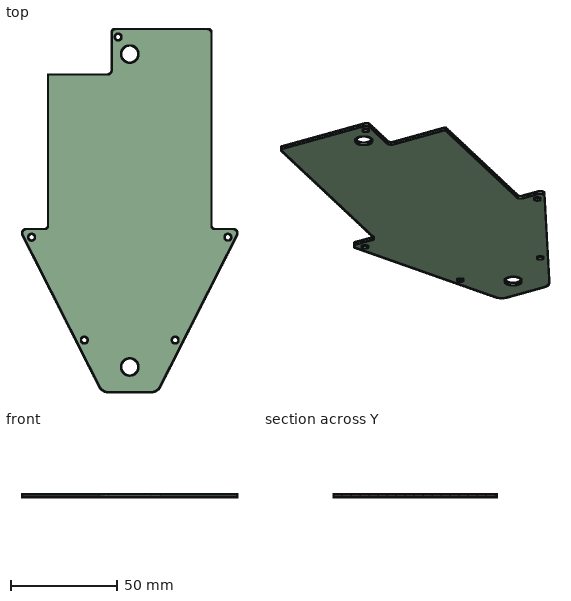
import cadquery as cq

length = 171.0
thickness = 1.5

body_half_width = 38.5
step_y = 149.6
step_x = -8.5

shoulder_y = 77.0
shoulder_half_width = 52.0
nose_half_width = 13.0

tab_corner_radius = 1.5
step_notch_radius = 2.0
shoulder_notch_radius = 1.5
shoulder_tip_radius = 2.0
nose_corner_radius = 5.0

large_hole_diameter = 8.0
small_hole_diameter = 3.0
nose_large_hole_y = 12.0
tab_large_hole_y = 159.2
tab_hole_point = (-5.5, 167.2)
shoulder_hole_x = 46.2
shoulder_hole_y = 73.0
nose_hole_x = 21.4
nose_hole_y = 24.6


def sharp_plate():
    """Flat plate with all outline corners still sharp."""
    outline = [
        (-nose_half_width, 0),
        (nose_half_width, 0),
        (shoulder_half_width, shoulder_y),
        (body_half_width, shoulder_y),
        (body_half_width, length),
        (step_x, length),
        (step_x, step_y),
        (-body_half_width, step_y),
        (-body_half_width, shoulder_y),
        (-shoulder_half_width, shoulder_y),
    ]
    return cq.Workplane("XY").polyline(outline).close().extrude(thickness)


def round_corners(plate, points, radius):
    """Fillet the upright plate edges standing at the given outline corners."""
    for x, y in points:
        edge = cq.selectors.NearestToPointSelector((x, y, thickness / 2))
        plate = plate.edges("|Z").edges(edge).fillet(radius)
    return plate


def mirrored(x, y):
    """The same point on both sides of the centre line."""
    return [(-x, y), (x, y)]


def drill(plate, points, diameter):
    """Cut round holes right through the plate."""
    cutter = cq.Workplane("XY").pushPoints(points).circle(diameter / 2).extrude(thickness)
    return plate.cut(cutter)


plate = sharp_plate()
plate = round_corners(plate, [(step_x, length), (body_half_width, length)], tab_corner_radius)
plate = round_corners(plate, [(step_x, step_y)], step_notch_radius)
plate = round_corners(plate, mirrored(body_half_width, shoulder_y), shoulder_notch_radius)
plate = round_corners(plate, mirrored(shoulder_half_width, shoulder_y), shoulder_tip_radius)
plate = round_corners(plate, mirrored(nose_half_width, 0), nose_corner_radius)

large_hole_points = [(0, nose_large_hole_y), (0, tab_large_hole_y)]
small_hole_points = [
    tab_hole_point,
    *mirrored(shoulder_hole_x, shoulder_hole_y),
    *mirrored(nose_hole_x, nose_hole_y),
]
plate = drill(plate, large_hole_points, large_hole_diameter)
plate = drill(plate, small_hole_points, small_hole_diameter)

result = plate